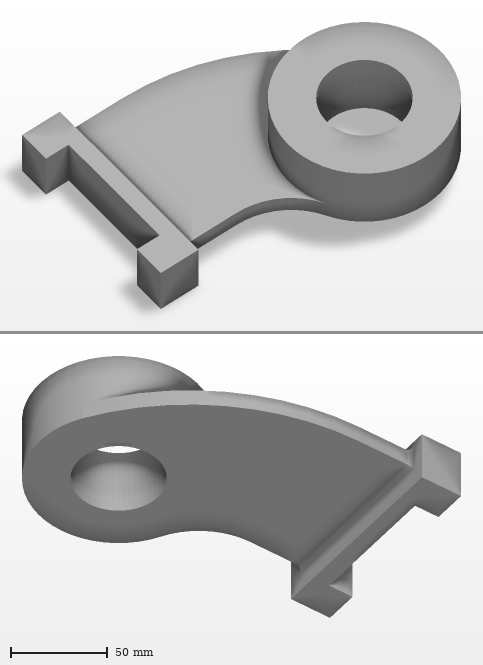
import cadquery as cq
import math

total_length = 192.0
total_height = 55.0

foot_width = 116.0
foot_depth = 25.0
foot_height = 30.0
recess_width = 76.0
recess_depth = 15.0

ring_diameter = 100.0
bore_diameter = 50.0
ring_radius = ring_diameter / 2
ring_x = 106.0
ring_y = total_length - ring_radius

arm_bottom = 15.0
arm_thickness = 10.0
arm_left = 10.0
arm_right = ring_x
bend_start = 58.0
root_fillet = 2.9


def make_foot():
    bar = cq.Workplane("XY").box(foot_width, foot_depth, foot_height, centered=False)
    recess = (
        cq.Workplane("XY")
        .box(recess_width, recess_depth, foot_height, centered=False)
        .translate(((foot_width - recess_width) / 2, 0, 0))
    )
    return bar.cut(recess)


def bend_radius(edge_x, side):
    """Radius of an arc leaving x = edge_x along +Y, centred to its right, tangent to the ring.

    side is +1 when the ring lies outside the arc and -1 when it lies inside.
    """
    dx = ring_x - edge_x
    dy = ring_y - bend_start
    return (dx**2 + dy**2 - ring_radius**2) / (2 * (dx + side * ring_radius))


def bend_points(edge_x, side):
    """Middle point of the bend arc and its point of tangency on the ring."""
    radius = bend_radius(edge_x, side)
    center_x = edge_x + radius
    turn = math.atan2(ring_y - bend_start, center_x - ring_x)

    def at(angle):
        return (center_x - radius * math.cos(angle), bend_start + radius * math.sin(angle))

    return at(turn / 2), at(turn)


def make_arm():
    outer_middle, outer_tangent = bend_points(arm_left, -1)
    inner_middle, inner_tangent = bend_points(arm_right, 1)
    return (
        cq.Workplane("XY", origin=(0, 0, arm_bottom))
        .moveTo(arm_left, foot_depth)
        .lineTo(arm_left, bend_start)
        .threePointArc(outer_middle, outer_tangent)
        .lineTo(ring_x, ring_y)
        .lineTo(*inner_tangent)
        .threePointArc(inner_middle, (arm_right, bend_start))
        .lineTo(arm_right, foot_depth)
        .close()
        .extrude(arm_thickness)
    )


def make_ring_cylinder(diameter):
    return (
        cq.Workplane("XY", origin=(ring_x, ring_y, arm_bottom))
        .circle(diameter / 2)
        .extrude(total_height - arm_bottom)
    )


def fillet_arm_root(body):
    """Round all four edges where the arm meets the back of the foot."""
    margin = 0.2
    root_edges = cq.selectors.BoxSelector(
        (arm_left - margin, foot_depth - margin, arm_bottom - margin),
        (arm_right + margin, foot_depth + margin, arm_bottom + arm_thickness + margin),
    )
    return body.edges(root_edges).fillet(root_fillet)


foot_and_arm = fillet_arm_root(make_foot().union(make_arm()))
result = foot_and_arm.union(make_ring_cylinder(ring_diameter)).cut(make_ring_cylinder(bore_diameter))